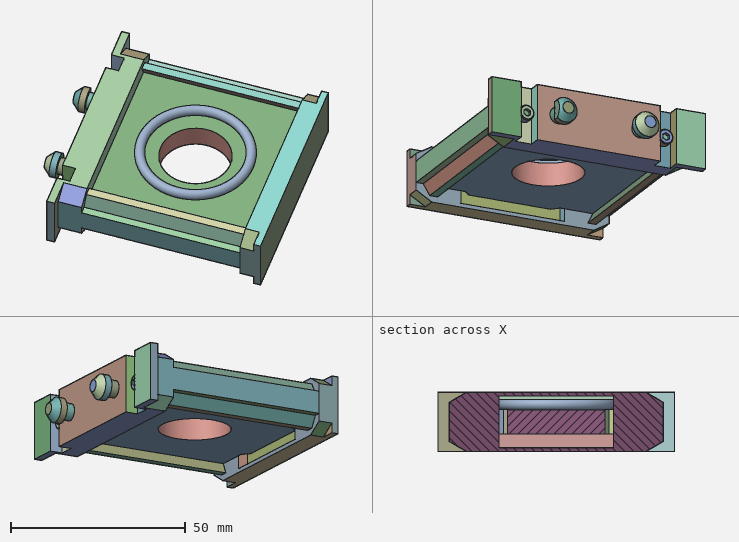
import cadquery as cq
import math


height = 17.0
half_height = height / 2
half_width = 30.65
corner_drop = 2.9
corner_width = 4.95

pin_tip_x = -40.75
pin_cone_end_x = -38.6
pin_collar_end_x = -36.65
flange_x = -33.6
flange_thickness = 2.4
window_start_x = -24.15
seam_x = 23.65
cap_flange_x = 27.8
cap_end_x = 29.85

flange_length = 67.8
slot_depth = 3.9
slot_width = 5.1
slot_y = 22.0

rail_half_height = 6.65
side_half_height = 3.3
rail_foot_y = 28.4
rail_top_outer_y = 26.3
rail_top_inner_y = 23.85
rail_undercut_y = 25.35

plate_thickness = 7.0
plate_half_thickness = plate_thickness / 2
bore_dia = 21.0
tongue_half_width = 15.05
tongue_length = 2.05

ring_outer_dia = 34.95
ring_section_dia = 3.0

pocket_width = 32.75
pocket_height = 14.7
pocket_depth = 3.0

pin_y = 13.0
pin_shank_dia = 5.0
pin_collar_dia = 7.5
pin_tip_dia = 3.5

screw_head_dia = 4.5
screw_head_height = 2.5
screw_edge_chamfer = 0.25
socket_across_flats = 2.0
socket_depth = 1.0


def box_between(x_start, x_end, width, box_height):
    """Box spanning two X stations, centred on Y = 0 and Z = 0."""
    return cq.Workplane("YZ", origin=(x_start, 0, 0)).rect(width, box_height).extrude(x_end - x_start)


def bevelled_block(x_start, x_end):
    """Block with all four long edges bevelled."""
    shoulder_y = half_width - corner_width
    shoulder_z = half_height - corner_drop
    return (
        cq.Workplane("YZ", origin=(x_start, 0, 0))
        .moveTo(-shoulder_y, half_height)
        .lineTo(shoulder_y, half_height)
        .lineTo(half_width, shoulder_z)
        .lineTo(half_width, -shoulder_z)
        .lineTo(shoulder_y, -half_height)
        .lineTo(-shoulder_y, -half_height)
        .lineTo(-half_width, -shoulder_z)
        .lineTo(-half_width, shoulder_z)
        .close()
        .extrude(x_end - x_start)
    )


def make_rail():
    """Rail on the +Y side, with an undercut inner flank above and below the plate."""
    upper = [
        (rail_undercut_y, plate_half_thickness),
        (rail_top_inner_y, rail_half_height),
        (rail_top_outer_y, rail_half_height),
        (rail_foot_y, side_half_height),
        (half_width, side_half_height),
    ]
    lower = [(y, -z) for y, z in reversed(upper)]
    profile = cq.Workplane("YZ", origin=(window_start_x, 0, 0)).polyline(upper + lower).close()
    return profile.extrude(seam_x - window_start_x)


def make_plate():
    """Bored plate between the rails, with a tongue that tapers at 45 degrees past the seam."""
    tip_half_width = tongue_half_width - tongue_length
    tip_x = seam_x + tongue_length
    outline = [
        (window_start_x, -rail_undercut_y),
        (seam_x, -rail_undercut_y),
        (seam_x, -tongue_half_width),
        (tip_x, -tip_half_width),
        (tip_x, tip_half_width),
        (seam_x, tongue_half_width),
        (seam_x, rail_undercut_y),
        (window_start_x, rail_undercut_y),
    ]
    plate = cq.Workplane("XY").polyline(outline).close().extrude(plate_half_thickness, both=True)
    bore = cq.Workplane("XY").circle(bore_dia / 2).extrude(plate_half_thickness, both=True)
    return plate.cut(bore)


def make_seal_ring():
    """Round-section ring resting on the upper face of the plate."""
    section_radius = ring_section_dia / 2
    centre_radius = ring_outer_dia / 2 - section_radius
    centre_z = plate_half_thickness + section_radius
    section = cq.Workplane("XZ").center(centre_radius, centre_z).circle(section_radius)
    return section.revolve(360, (-centre_radius, 0, 0), (-centre_radius, 1, 0))


def make_pin(y):
    """Collared pin with a conical nose, standing out of the flange face."""
    profile = [
        (pin_tip_x, 0),
        (pin_tip_x, pin_tip_dia / 2),
        (pin_cone_end_x, pin_collar_dia / 2),
        (pin_collar_end_x, pin_collar_dia / 2),
        (pin_collar_end_x, pin_shank_dia / 2),
        (flange_x, pin_shank_dia / 2),
        (flange_x, 0),
    ]
    pin = cq.Workplane("XY").polyline(profile).close().revolve(360, (0, 0, 0), (1, 0, 0))
    return pin.translate((0, y, 0))


def make_flatted_pin(y):
    """Pin whose collar is cut flush with the shank on the +Y side."""
    flat_y = y + pin_shank_dia / 2
    waste = cq.Workplane("XY").box(
        pin_collar_end_x - pin_tip_x, pin_collar_dia, pin_collar_dia, centered=(False, False, True)
    )
    return make_pin(y).cut(waste.translate((pin_tip_x, flat_y, 0)))


def make_screw_head(y):
    """Socket screw head seated on the floor of a flange slot."""
    seat_x = flange_x + slot_depth
    socket_across_corners = socket_across_flats / math.cos(math.radians(30))
    head = (
        cq.Workplane("YZ", origin=(seat_x, y, 0))
        .circle(screw_head_dia / 2)
        .extrude(-screw_head_height)
        .faces("<X")
        .chamfer(screw_edge_chamfer)
    )
    socket = (
        cq.Workplane("YZ", origin=(seat_x - screw_head_height, y, 0))
        .transformed(rotate=(0, 0, 90))
        .polygon(6, socket_across_corners)
        .extrude(socket_depth)
    )
    return head.cut(socket)


def make_frame():
    """Flanged block, rails and plate in one piece, with its pins and screw heads."""
    flange_back_x = flange_x + flange_thickness
    frame = box_between(flange_x, flange_back_x, flange_length, height)
    frame = frame.union(bevelled_block(flange_back_x, window_start_x))
    slot = box_between(flange_x, flange_x + slot_depth, slot_width, height)
    for side in (-1, 1):
        frame = frame.cut(slot.translate((0, side * slot_y, 0)))
    rail = make_rail()
    frame = frame.union(make_plate()).union(rail).union(rail.mirror("XZ"))
    frame = frame.union(make_pin(-pin_y)).union(make_flatted_pin(pin_y))
    for side in (-1, 1):
        frame = frame.union(make_screw_head(side * slot_y))
    return frame


def make_end_cap():
    """Cap closing the open end of the frame, with a pocket around the tongue."""
    cap = bevelled_block(seam_x, cap_flange_x)
    cap = cap.union(box_between(cap_flange_x, cap_end_x, 2 * half_width, height))
    return cap.cut(box_between(seam_x, seam_x + pocket_depth, pocket_width, pocket_height))


frame = make_frame()
end_cap = make_end_cap()
seal_ring = make_seal_ring()

result = cq.Compound.makeCompound([frame.val(), end_cap.val(), seal_ring.val()])